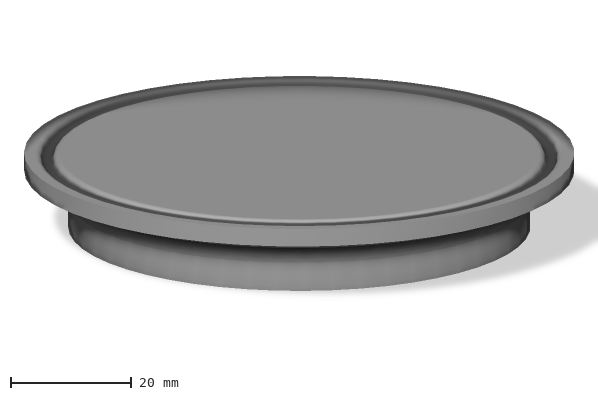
import cadquery as cq
import math

flange_radius = 45.5
total_height = 12.7
rim_height = 3.0
stub_radius = 38.2
back_slope = math.radians(20)
neck_fillet = 3.2

groove_radius = 41.6
groove_half_width = 2.1
groove_depth = 1.55


def make_body():
    """Revolve the flange, its sloping back and the stub as one profile."""
    slope_drop = (flange_radius - stub_radius) * math.tan(back_slope)
    neck_z = total_height - rim_height - slope_drop
    body = (
        cq.Workplane("XZ")
        .moveTo(0, 0)
        .lineTo(stub_radius, 0)
        .lineTo(stub_radius, neck_z)
        .lineTo(flange_radius, total_height - rim_height)
        .lineTo(flange_radius, total_height)
        .lineTo(0, total_height)
        .close()
        .revolve(360, (0, 0, 0), (0, 1, 0))
    )
    edge_margin = 0.1
    neck_edge = cq.selectors.BoxSelector(
        (-flange_radius, -flange_radius, neck_z - edge_margin),
        (flange_radius, flange_radius, neck_z + edge_margin),
        boundingbox=True,
    )
    return body.edges(neck_edge).fillet(neck_fillet)


def make_groove():
    """Revolve a round-bottomed groove whose rounded lips meet the face tangentially."""
    arc_radius = (groove_half_width**2 + groove_depth**2) / (4 * groove_depth)
    half_sweep = math.asin(groove_half_width / (2 * arc_radius)) / 2
    join_offset = groove_half_width / 2
    join_z = total_height - groove_depth / 2
    bottom_z = total_height - groove_depth
    lip_mid_offset = groove_half_width - arc_radius * math.sin(half_sweep)
    lip_mid_z = total_height - arc_radius * (1 - math.cos(half_sweep))
    return (
        cq.Workplane("XZ")
        .moveTo(groove_radius - groove_half_width, total_height)
        .threePointArc(
            (groove_radius - lip_mid_offset, lip_mid_z),
            (groove_radius - join_offset, join_z),
        )
        .threePointArc((groove_radius, bottom_z), (groove_radius + join_offset, join_z))
        .threePointArc(
            (groove_radius + lip_mid_offset, lip_mid_z),
            (groove_radius + groove_half_width, total_height),
        )
        .close()
        .revolve(360, (0, 0, 0), (0, 1, 0))
    )


result = make_body().cut(make_groove())